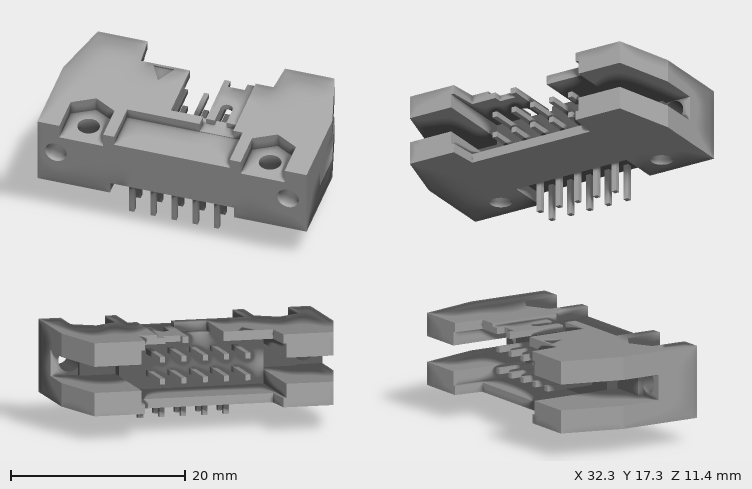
import cadquery as cq
import math


width = 32.3
depth = 17.3
height = 8.5
jaw_outer_x = 14.2
jaw_inner_x = 8.23
jaw_root_x = 7.95
centre_front_y = 13.78
taper_start_y = 10.04

mid_z = height / 2
cavity_half_width = 8.6
wall_thickness = 1.09
cavity_top_z = height - wall_thickness
cavity_floor_y = 7.4
slot_height = 3.04
slot_inner_floor_y = 5.97
slot_outer_floor_y = 5.24
slot_step_x = 12.9

key_left_x = -2.09
key_right_x = 5.8
key_back_y = 6.4
key_step_x = 1.76

pocket_half_width = 6.93
pocket_length = 5.06
pocket_depth = 1.2

latch_left_x = 2.06
latch_back_y = 6.58
latch_thickness = 0.71
latch_notch_left_x = 2.77
latch_notch_right_x = 4.82
latch_notch_depth = 1.03
latch_slot_x = 3.8
latch_slot_width = 1.4
latch_slot_end_y = 9.68

hole_diameter = 2.6
screw_x = 10.88
screw_y = 2.88
nut_across_flats = 5.26
nut_pocket_depth = 1.72

rear_hole_x = 13.92
rear_hole_z = 4.45

recess_half_width = 7.44
recess_length = 5.06
recess_height = 1.42

pitch = 2.54
columns = 5
pin_width = 0.6
pin_thickness = 0.65
pin_tip_y = 13.48
pin_bottom_z = -2.9
rear_leg_y = 1.12

mark_x = -5.08
mark_half_width = 1.27
mark_base_y = 13.45
mark_tip_y = 11.05
mark_depth = 0.2


def box(x_range, y_range, z_range):
    """Box between pairs of X, Y and Z limits."""
    x0, x1 = x_range
    y0, y1 = y_range
    z0, z1 = z_range
    return cq.Workplane("XY").box(x1 - x0, y1 - y0, z1 - z0, centered=False).translate((x0, y0, z0))


def prism(points, z_range):
    """Vertical prism over a closed XY polygon."""
    z0, z1 = z_range
    return cq.Workplane("XY").workplane(offset=z0).polyline(points).close().extrude(z1 - z0)


def make_housing():
    """Solid block with two tapered jaws."""
    right_half = [
        (width / 2, 0),
        (width / 2, taper_start_y),
        (jaw_outer_x, depth),
        (jaw_inner_x, depth),
        (jaw_root_x, centre_front_y),
    ]
    left_half = [(-x, y) for x, y in reversed(right_half)]
    return prism(right_half + left_half, (0, height))


def cut_mating_side(body):
    """Open the connector cavity and the stepped slot through each jaw."""
    slot_z = (mid_z - slot_height / 2, mid_z + slot_height / 2)
    cavity_x = (-cavity_half_width, cavity_half_width)
    body = body.cut(box(cavity_x, (cavity_floor_y, depth), (wall_thickness, cavity_top_z)))
    for side in (-1, 1):
        inner_x = sorted((side * cavity_half_width, side * slot_step_x))
        outer_x = sorted((side * slot_step_x, side * width / 2))
        body = body.cut(box(inner_x, (slot_inner_floor_y, depth), slot_z))
        body = body.cut(box(outer_x, (slot_outer_floor_y, depth), slot_z))
    return body


def cut_top(body):
    """Cut the key opening, the rear pocket and the pin-one triangle."""
    key = [
        (key_left_x, key_back_y),
        (key_step_x, key_back_y),
        (key_step_x, pocket_length),
        (key_right_x, pocket_length),
        (key_right_x, depth),
        (key_left_x, depth),
    ]
    mark = [
        (mark_x - mark_half_width, mark_base_y),
        (mark_x + mark_half_width, mark_base_y),
        (mark_x, mark_tip_y),
    ]
    pocket_x = (-pocket_half_width, pocket_half_width)
    body = body.cut(prism(key, (cavity_top_z, height)))
    body = body.cut(box(pocket_x, (0, pocket_length), (height - pocket_depth, height)))
    return body.cut(prism(mark, (height - mark_depth, height)))


def make_latch():
    """Flat tongue in the key opening, notched at the tip and slotted at the root."""
    latch_z = (cavity_top_z, cavity_top_z + latch_thickness)
    latch = box((latch_left_x, key_right_x), (latch_back_y, centre_front_y), latch_z)
    notch_x = (latch_notch_left_x, latch_notch_right_x)
    notch_y = (centre_front_y - latch_notch_depth, centre_front_y)
    slot_radius = latch_slot_width / 2
    slot_arc_y = latch_slot_end_y - slot_radius
    slot = (
        cq.Workplane("XY")
        .workplane(offset=cavity_top_z)
        .moveTo(latch_slot_x - slot_radius, latch_back_y)
        .lineTo(latch_slot_x - slot_radius, slot_arc_y)
        .threePointArc((latch_slot_x, latch_slot_end_y), (latch_slot_x + slot_radius, slot_arc_y))
        .lineTo(latch_slot_x + slot_radius, latch_back_y)
        .close()
        .extrude(latch_thickness)
    )
    return latch.cut(box(notch_x, notch_y, latch_z)).cut(slot)


def cut_screw_mount(body, x):
    """Vertical screw hole under a hexagonal nut pocket open to the rear face."""
    half_flats = nut_across_flats / 2
    nut_radius = half_flats / math.cos(math.pi / 6)
    shoulder_y = screw_y + nut_radius / 2
    nut_pocket = [
        (x - half_flats, 0),
        (x + half_flats, 0),
        (x + half_flats, shoulder_y),
        (x, screw_y + nut_radius),
        (x - half_flats, shoulder_y),
    ]
    hole = cq.Workplane("XY").center(x, screw_y).circle(hole_diameter / 2).extrude(height)
    return body.cut(prism(nut_pocket, (height - nut_pocket_depth, height))).cut(hole)


def cut_rear_hole(body, x):
    """Horizontal hole from the rear face to the outer floor of the side slot."""
    hole = cq.Workplane("XZ").center(x, rear_hole_z).circle(hole_diameter / 2).extrude(-slot_outer_floor_y)
    return body.cut(hole)


def make_pin(x, leg_y, row_z):
    """Right-angle pin: a contact along Y and a solder leg along Z."""
    half = pin_thickness / 2
    pin_x = (x - pin_width / 2, x + pin_width / 2)
    contact = box(pin_x, (leg_y - half, pin_tip_y), (row_z - half, row_z + half))
    leg = box(pin_x, (leg_y - half, leg_y + half), (pin_bottom_z, row_z + half))
    return contact.union(leg)


body = cut_top(cut_mating_side(make_housing()))
for side in (-1, 1):
    body = cut_screw_mount(body, side * screw_x)
    body = cut_rear_hole(body, side * rear_hole_x)
body = body.cut(box((-recess_half_width, recess_half_width), (0, recess_length), (0, recess_height)))
body = body.union(make_latch())

for column in range(columns):
    pin_x = (column - (columns - 1) / 2) * pitch
    body = body.union(make_pin(pin_x, rear_leg_y, mid_z + pitch / 2))
    body = body.union(make_pin(pin_x, rear_leg_y + pitch, mid_z - pitch / 2))

result = body